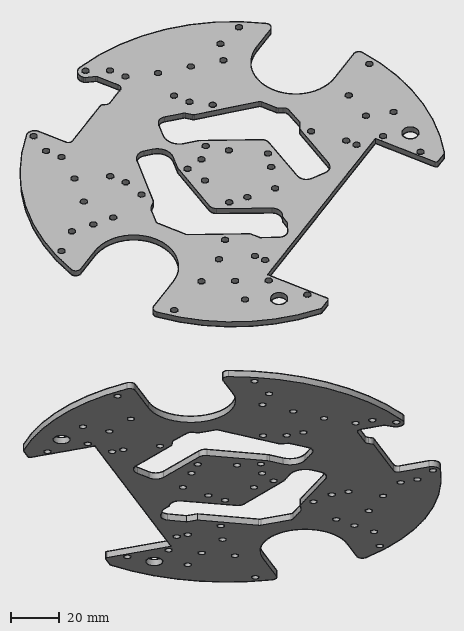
import cadquery as cq
import math

THICKNESS = 3.0
DISC_RADIUS = 87.9
DISC_CENTRE_X = 8.7
CUT_REACH = 104.5

NOTCH_RADIUS = 18.5
NOTCH_FLOOR_Y = 50.0
NOTCH_TIP_RADIUS = 2.5

HORN_END_X = 79.5
RECESS_FLOOR_X = 50.5
RECESS_HALF_WIDTH = 45.6
HORN_CORNER_RADIUS = 1.0

TAIL_TIP_RADIUS = 3.5

SMALL_HOLE_DIAMETER = 3.0
LARGE_HOLE_DIAMETER = 7.0
LARGE_HOLE_POSITION = (61.5, 55.5)

MIRRORED_HOLES = [
    (27.0, 82.5), (-30.5, 75.0), (-73.3, 22.0),
    (49.5, 62.8), (28.5, 62.3), (40.5, 55.3), (52.5, 48.4), (70.5, 47.9),
    (-32.4, 62.8), (-26.6, 55.0), (-36.5, 45.3), (-46.5, 35.3),
    (40.5, 38.6), (45.5, 38.6), (25.2, 36.4), (-17.8, 30.1),
    (-64.5, 27.0), (-57.3, 27.0), (-34.3, 27.0), (-27.0, 27.0),
    (16.0, 16.4), (1.0, 10.1), (21.0, 10.1), (-8.5, 7.7),
]
SINGLE_HOLES = [(-6.3, 0), (28.5, 0), (-21.4, -47.5), (28.5, -47.5)]

TAIL_POCKET = [
    (-CUT_REACH, 18.1, 0),
    (-71.7, 18.1, 1.4),
    (-67.7, 21.2, 1.4),
    (-55.3, 21.2, 2.1),
    (-55.3, 9.4, 2.1),
    (-58.0, 7.7, 1.0),
    (-58.0, -18.5, 2.0),
    (-CUT_REACH, -18.5, 0),
]

ISLAND_EDGE = [
    (36.7, 8.7, 4.4),
    (11.5, 23.1, 3.5),
    (-12.4, 9.2, 3.5),
    (-22.0, -0.3, 7.0),
]
UPPER_WINDOW = ISLAND_EDGE + [
    (-34.1, 11.7, 3.5),
    (-25.5, 20.2, 1.7),
    (-21.8, 21.0, 1.7),
    (-1.5, 41.5, 1.4),
    (6.5, 41.5, 1.7),
    (9.7, 43.5, 2.6),
    (18.8, 38.6, 1.4),
    (20.4, 35.3, 1.4),
    (44.2, 21.5, 4.4),
]
LOWER_WINDOW = ISLAND_EDGE + [
    (-32.2, 10.5, 4.4),
    (-11.5, 31.2, 1.4),
    (-10.6, 35.2, 1.4),
    (-4.4, 41.5, 1.4),
    (10.0, 41.5, 1.7),
    (32.5, 28.2, 0),
    (37.2, 28.2, 0),
    (47.0, 22.3, 3.5),
    (43.0, 15.3, 2.6),
    (39.3, 13.0, 1.7),
]


def rounded_prism(corners):
    """Prism of plate thickness over a polygon whose corners are rounded by tangent arcs."""
    stretches = []
    for i, (x, y, radius) in enumerate(corners):
        corner = cq.Vector(x, y)
        before = cq.Vector(*corners[i - 1][:2])
        after = cq.Vector(*corners[(i + 1) % len(corners)][:2])
        to_before = (before - corner).normalized()
        to_after = (after - corner).normalized()
        half_angle = to_before.getAngle(to_after) / 2
        tangent_length = radius / math.tan(half_angle)
        nearest = radius / math.sin(half_angle) - radius
        bisector = (to_before + to_after).normalized()
        stretches.append((
            corner + to_before * tangent_length,
            corner + bisector * nearest,
            corner + to_after * tangent_length,
            radius,
        ))

    outline = cq.Workplane("XY").moveTo(*stretches[0][2].toTuple()[:2])
    for start, middle, end, radius in stretches[1:] + stretches[:1]:
        outline = outline.lineTo(start.x, start.y)
        if radius > 0:
            outline = outline.threePointArc((middle.x, middle.y), (end.x, end.y))
    return outline.close().extrude(THICKNESS)


def block(x_min, x_max, y_min, y_max):
    """Rectangular block of plate thickness."""
    return (
        cq.Workplane("XY")
        .box(x_max - x_min, y_max - y_min, THICKNESS, centered=False)
        .translate((x_min, y_min, 0))
    )


def mirrored(body):
    """The body reflected across the X axis."""
    return body.mirror("XZ")


def disc_y(x):
    """Distance of the disc rim from the X axis at x."""
    return math.sqrt(DISC_RADIUS**2 - (x - DISC_CENTRE_X) ** 2)


def disc_rear_x(y):
    """Position of the rear disc rim at y."""
    return DISC_CENTRE_X - math.sqrt(DISC_RADIUS**2 - y**2)


def wheel_notch():
    centre_y = NOTCH_FLOOR_Y + NOTCH_RADIUS
    round_end = cq.Workplane("XY").center(0, centre_y).circle(NOTCH_RADIUS).extrude(THICKNESS)
    return round_end.union(block(-NOTCH_RADIUS, NOTCH_RADIUS, centre_y, CUT_REACH))


def round_corner(body, x, y, radius):
    """Fillet the vertical edge of the body nearest to (x, y)."""
    nearest_edge = cq.selectors.NearestToPointSelector((x, y, THICKNESS / 2))
    return cq.Workplane(body.edges("|Z").edges(nearest_edge).fillet(radius).val())


def drill(body, positions, diameter):
    """The body with a through hole at each position."""
    return body.cut(cq.Workplane("XY").pushPoints(positions).circle(diameter / 2).extrude(THICKNESS))


def both_sides(positions):
    """The positions together with their reflections across the X axis."""
    return positions + [(x, -y) for x, y in positions]


plate = cq.Workplane("XY").center(DISC_CENTRE_X, 0).circle(DISC_RADIUS).extrude(THICKNESS)
plate = plate.cut(wheel_notch()).cut(mirrored(wheel_notch()))
plate = plate.cut(block(RECESS_FLOOR_X, CUT_REACH, -RECESS_HALF_WIDTH, RECESS_HALF_WIDTH))
plate = plate.cut(block(HORN_END_X, CUT_REACH, -CUT_REACH, CUT_REACH))
plate = plate.cut(rounded_prism(TAIL_POCKET))

for side in (1, -1):
    for notch_edge_x in (-NOTCH_RADIUS, NOTCH_RADIUS):
        plate = round_corner(plate, notch_edge_x, side * disc_y(notch_edge_x), NOTCH_TIP_RADIUS)
    for horn_y in (RECESS_HALF_WIDTH, disc_y(HORN_END_X)):
        plate = round_corner(plate, HORN_END_X, side * horn_y, HORN_CORNER_RADIUS)
for tip_y in (TAIL_POCKET[0][1], TAIL_POCKET[-1][1]):
    plate = round_corner(plate, disc_rear_x(tip_y), tip_y, TAIL_TIP_RADIUS)

plate = plate.cut(rounded_prism(UPPER_WINDOW))
plate = plate.cut(mirrored(rounded_prism(LOWER_WINDOW)))

plate = drill(plate, both_sides(MIRRORED_HOLES) + SINGLE_HOLES, SMALL_HOLE_DIAMETER)
plate = drill(plate, both_sides([LARGE_HOLE_POSITION]), LARGE_HOLE_DIAMETER)

result = plate